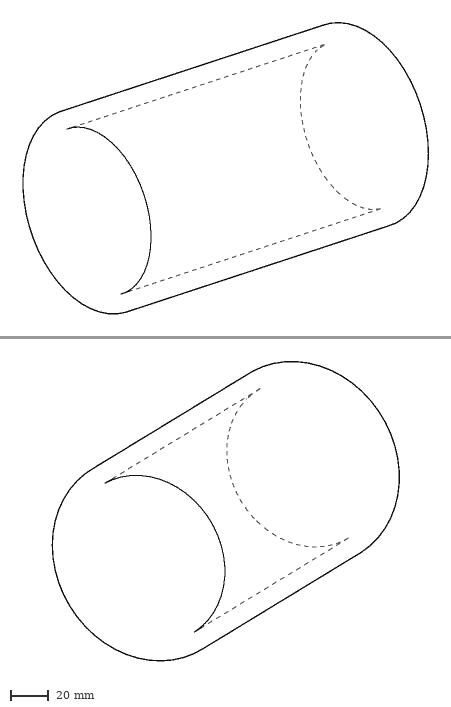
import cadquery as cq

outer_diameter = 112.0
bore_diameter = 92.0
length = 190.0
outer_edge_radius = 2.0
bore_edge_radius = 3.0


def make_tube():
    """Plain tube along Y, centred on the origin."""
    return (
        cq.Workplane("XZ", origin=(0, length / 2, 0))
        .circle(outer_diameter / 2)
        .circle(bore_diameter / 2)
        .extrude(length)
    )


def round_rims(tube):
    """Round the outer and the bore edge at both ends."""
    smallest_circles = cq.selectors.RadiusNthSelector(0)
    largest_circles = cq.selectors.RadiusNthSelector(-1)
    tube = tube.faces("<Y or >Y").edges(largest_circles).fillet(outer_edge_radius)
    return tube.faces("<Y or >Y").edges(smallest_circles).fillet(bore_edge_radius)


result = round_rims(make_tube())